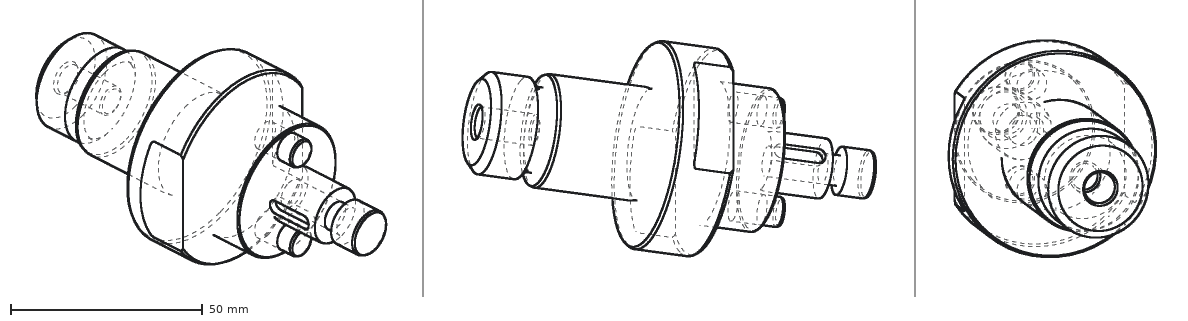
import cadquery as cq
import math


QUARTER_ARC_INSET = 1 - math.sqrt(0.5)

front_radius = 13.6
front_chamfer = 2.2
neck_radius = 11.3
neck_cone_start = 12.3
neck_cone_angle = math.radians(45)
neck_end = 17.1
neck_cone_round = 0.4
neck_wall_round = 0.5
shank_diameter = 30.0
shank_radius = shank_diameter / 2
lead_in_length = 1.0
lead_in_depth = 0.3

flange_start = 46.7
flange_end = 63.0
flange_diameter = 55.0
flange_radius = flange_diameter / 2
flange_bevel_length = 0.9
flange_bevel_depth = 0.5
flat_start = 52.0
flat_distance = 23.0
flat_corner_round = 0.9
hub_end = 79.0
hub_radius = 19.0
hub_fillet = 1.7
hub_chamfer = 0.4
stub_end = 95.9
stub_diameter = 15.9
stub_radius = stub_diameter / 2
stub_bevel_length = 0.4
stub_bevel_depth = 0.1

undercut_slope = math.radians(15)
undercut_face_slope = math.radians(8)
undercut_face_depth = 0.16
undercut_length = 2.1
undercut_depth = 0.27
undercut_round = 0.7

keyway_center = 86.8
keyway_length = 14.1
keyway_width = 4.0
keyway_depth = 2.5

bore_radius = 4.1
bore_mouth_radius = 4.7
bore_mouth_length = 0.9
bore_bottom_radius = 3.5
bore_depth = 16.3
bore_point_angle = math.radians(120)

screw_end = 108.5
head_length = 8.1
head_radius = 6.4
head_bevel_length = 0.7
head_bevel_depth = 0.3
screw_shank_radius = 4.0
screw_shank_length = 20.0
head_start = screw_end - head_length
screw_tip = head_start - screw_shank_length
under_head_round = 0.3

pin_radius = 4.0
pin_offset = 14.0
pin_end = 84.0
pin_depth = 2 * pin_radius
pin_bevel_length = 0.7
pin_bevel_depth = 0.3


def revolve_about_x(profile):
    """Turn a closed (axial, radial) profile about the X axis."""
    return profile.close().revolve(360, (0, 0, 0), (1, 0, 0))


def x_cylinder(radius, start, length, z=0.0):
    """A cylinder parallel to X."""
    return cq.Workplane("YZ", origin=(start, 0, z)).circle(radius).extrude(length)


def shoulder_undercut(face, side, radius):
    """Ring that relieves the corner between a cylinder and a shoulder face.

    `side` is +1 where the cylinder lies on the +X side of the face and -1 on the other side.
    """
    floor_radius = radius - undercut_depth
    bottom = face - side * undercut_face_depth
    slope_end = face + side * (undercut_length - undercut_depth / math.tan(undercut_slope))
    face_rim = floor_radius + undercut_round + undercut_face_depth / math.tan(undercut_face_slope)
    arc_inset = undercut_round * QUARTER_ARC_INSET
    ring = (
        cq.Workplane("XY")
        .moveTo(face + side * undercut_length, radius)
        .lineTo(slope_end, floor_radius)
        .lineTo(bottom + side * undercut_round, floor_radius)
        .threePointArc(
            (bottom + side * arc_inset, floor_radius + arc_inset),
            (bottom, floor_radius + undercut_round),
        )
        .lineTo(face, face_rim)
        .lineTo(face + side * undercut_length, face_rim)
    )
    return revolve_about_x(ring)


def make_arbor_blank():
    """Shank, flange, hub and stub turned as one solid."""
    cone_end = neck_cone_start + (front_radius - neck_radius) / math.tan(neck_cone_angle)
    half_turn = neck_cone_angle / 2
    tangent = neck_cone_round * math.tan(half_turn)
    cone_touch = (
        cone_end - tangent * math.cos(neck_cone_angle),
        neck_radius + tangent * math.sin(neck_cone_angle),
    )
    neck_touch = (cone_end + tangent, neck_radius)
    round_middle = (
        neck_touch[0] - neck_cone_round * math.sin(half_turn),
        neck_radius + neck_cone_round * (1 - math.cos(half_turn)),
    )
    wall_inset = neck_wall_round * QUARTER_ARC_INSET
    hub_inset = hub_fillet * QUARTER_ARC_INSET
    profile = (
        cq.Workplane("XY")
        .moveTo(0, 0)
        .lineTo(0, front_radius - front_chamfer)
        .lineTo(front_chamfer, front_radius)
        .lineTo(neck_cone_start, front_radius)
        .lineTo(*cone_touch)
        .threePointArc(round_middle, neck_touch)
        .lineTo(neck_end - neck_wall_round, neck_radius)
        .threePointArc(
            (neck_end - wall_inset, neck_radius + wall_inset),
            (neck_end, neck_radius + neck_wall_round),
        )
        .lineTo(neck_end, shank_radius - lead_in_depth)
        .lineTo(neck_end + lead_in_length, shank_radius)
        .lineTo(flange_start, shank_radius)
        .lineTo(flange_start, flange_radius - flange_bevel_depth)
        .lineTo(flange_start + flange_bevel_length, flange_radius)
        .lineTo(flange_end - flange_bevel_length, flange_radius)
        .lineTo(flange_end, flange_radius - flange_bevel_depth)
        .lineTo(flange_end, hub_radius + hub_fillet)
        .threePointArc(
            (flange_end + hub_inset, hub_radius + hub_inset),
            (flange_end + hub_fillet, hub_radius),
        )
        .lineTo(hub_end - hub_chamfer, hub_radius)
        .lineTo(hub_end, hub_radius - hub_chamfer)
        .lineTo(hub_end, stub_radius)
        .lineTo(stub_end - stub_bevel_length, stub_radius)
        .lineTo(stub_end, stub_radius - stub_bevel_depth)
        .lineTo(stub_end, 0)
    )
    return revolve_about_x(profile)


def flange_flat_cutter(side):
    """Block that mills the flat on the +Y (side = 1) or -Y (side = -1) edge of the flange."""
    block = cq.Workplane("XY", origin=(flat_start, flat_distance, 0)).box(
        flange_end - flat_start, flange_radius, 2 * flange_radius, centered=(False, False, True)
    )
    block = block.edges("<X and <Y").fillet(flat_corner_round)
    return block if side > 0 else block.mirror("XZ")


def keyway_cutter():
    """Round-ended slot sunk into the stub from -Y."""
    floor = cq.Workplane("XZ", origin=(keyway_center, keyway_depth - stub_radius, 0))
    return floor.slot2D(keyway_length, keyway_width).extrude(stub_radius)


def bore_cutter():
    """Blind bore with a tapered mouth and a coned end that stops at a flat."""
    end_cone = (bore_radius - bore_bottom_radius) / math.tan(bore_point_angle / 2)
    profile = (
        cq.Workplane("XY")
        .moveTo(0, 0)
        .lineTo(0, bore_mouth_radius)
        .lineTo(bore_mouth_length, bore_radius)
        .lineTo(bore_depth - end_cone, bore_radius)
        .lineTo(bore_depth, bore_bottom_radius)
        .lineTo(bore_depth, 0)
    )
    return revolve_about_x(profile)


def make_arbor():
    arbor = make_arbor_blank()
    arbor = arbor.cut(shoulder_undercut(flange_start, -1, shank_radius))
    arbor = arbor.cut(shoulder_undercut(hub_end, 1, stub_radius))
    for side in (-1, 1):
        arbor = arbor.cut(flange_flat_cutter(side))
        arbor = arbor.cut(x_cylinder(pin_radius, hub_end - pin_depth, pin_depth, side * pin_offset))
    arbor = arbor.cut(keyway_cutter())
    arbor = arbor.cut(bore_cutter())
    return arbor.cut(x_cylinder(screw_shank_radius, screw_tip, stub_end - screw_tip))


def make_screw():
    """Cylindrical head on a plain shank that enters the stub."""
    inset = under_head_round * QUARTER_ARC_INSET
    profile = (
        cq.Workplane("XY")
        .moveTo(screw_tip, 0)
        .lineTo(screw_tip, screw_shank_radius)
        .lineTo(head_start - under_head_round, screw_shank_radius)
        .threePointArc(
            (head_start - inset, screw_shank_radius + inset),
            (head_start, screw_shank_radius + under_head_round),
        )
        .lineTo(head_start, head_radius)
        .lineTo(screw_end - head_bevel_length, head_radius)
        .lineTo(screw_end, head_radius - head_bevel_depth)
        .lineTo(screw_end, 0)
    )
    return revolve_about_x(profile)


def make_pin(z):
    """Drive pin set in the hub face at height z."""
    pin = x_cylinder(pin_radius, hub_end - pin_depth, pin_end - hub_end + pin_depth, z)
    return pin.faces(">X").chamfer(pin_bevel_length, pin_bevel_depth)


arbor = make_arbor()
screw = make_screw()
pins = [make_pin(side * pin_offset) for side in (-1, 1)]

result = cq.Compound.makeCompound([arbor.solids().val(), screw.solids().val(), *[pin.val() for pin in pins]])